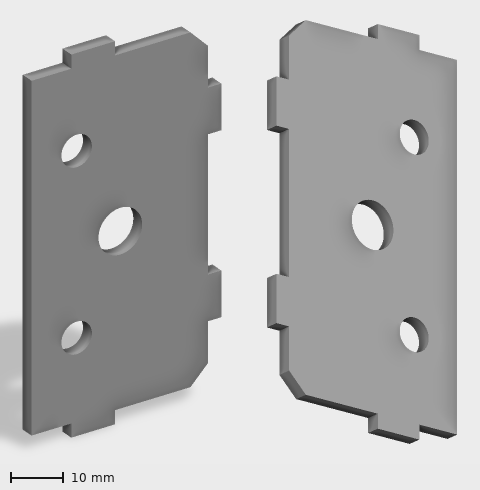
import cadquery as cq

thickness = 3.0
overall_width = 43.5
overall_height = 82.0

tab_depth = thickness
tab_length = 10.0
end_tab_y = 14.1

body_width = overall_width - tab_depth
body_height = overall_height - 2 * tab_depth
corner_chamfer = 4.0

pair_z = 20.0
pair_hole_diameter = 7.0
pair_hole_y = 10.3
centre_hole_diameter = 10.0
centre_hole_y = 20.3


def block(width, height, y, z):
    """Full-thickness block centred at (y, z)."""
    return cq.Workplane("XY").box(thickness, width, height).translate((0, y, z))


def hole(diameter, y, z):
    """Cutter through the plate thickness, centred at (y, z)."""
    plane = cq.Workplane("YZ", origin=(0, y, z))
    return plane.circle(diameter / 2).extrude(thickness, both=True)


result = block(body_width, body_height, body_width / 2, 0)
result = result.edges("|X and >Y").chamfer(corner_chamfer)

result = result.cut(hole(centre_hole_diameter, centre_hole_y, 0))

for side in (-1, 1):
    end_tab_z = side * (body_height + tab_depth) / 2
    result = result.union(block(tab_length, tab_depth, end_tab_y, end_tab_z))

    side_tab_y = body_width + tab_depth / 2
    result = result.union(block(tab_depth, tab_length, side_tab_y, side * pair_z))

    result = result.cut(hole(pair_hole_diameter, pair_hole_y, side * pair_z))